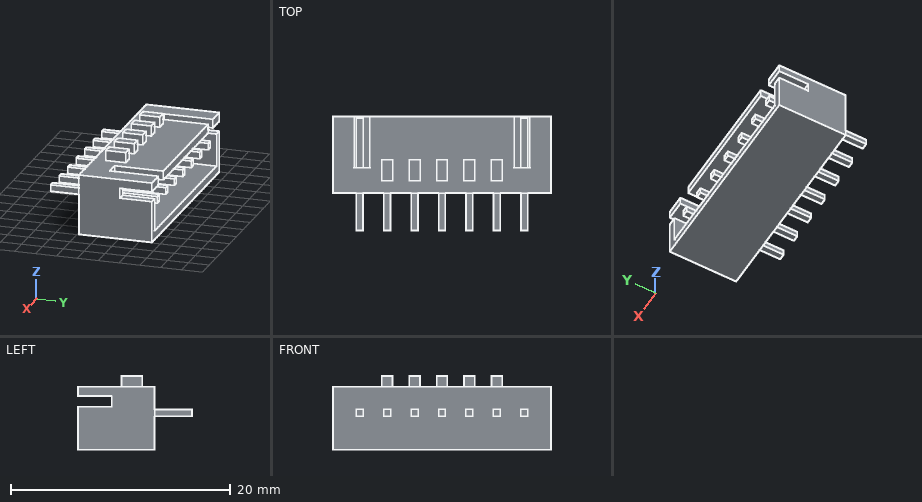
import cadquery as cq

body_length = 19.9
body_depth = 7.0
body_height = 5.77
wall = 0.85
cavity_depth = 4.68

slot_width = 1.43
slot_inset = 1.93

window_depth = 3.06
window_height = 0.95

pin_count = 7
pin_span = 15.0
pin_pitch = pin_span / (pin_count - 1)
pin_width = 0.64
pin_height_above_base = 3.38
pin_projection = 3.4
pin_tip_setback = 0.18

block_count = pin_count - 2
block_width = 1.0
block_depth = 1.91
block_height = 0.98
block_setback = 1.13


def corner_box(length, depth, height, x, y, z):
    """Box whose lowest X, Y and Z corner is at (x, y, z)."""
    return cq.Workplane("XY").box(length, depth, height, centered=False).translate((x, y, z))


def row_centres(count):
    """X positions of a centred row of features at the pin pitch."""
    return [(i - (count - 1) / 2) * pin_pitch for i in range(count)]


def make_housing():
    """Box-shaped shell, centred on X, with its back face on Y = 0 and base on Z = 0."""
    left = -body_length / 2
    housing = corner_box(body_length, body_depth, body_height, left, 0, 0)

    cavity_back = body_depth - cavity_depth
    housing = housing.cut(
        corner_box(
            body_length - 2 * wall, cavity_depth, body_height - 2 * wall,
            left + wall, cavity_back, wall,
        )
    )

    slot_left = left + slot_inset
    slot_right = -slot_left - slot_width
    for x in (slot_left, slot_right):
        housing = housing.cut(
            corner_box(slot_width, cavity_depth, wall, x, cavity_back, body_height - wall)
        )

    window_bottom = body_height - wall - window_height
    return housing.cut(
        corner_box(body_length, window_depth, window_height, left, body_depth - window_depth, window_bottom)
    )


def make_pin(x):
    length = pin_projection + body_depth - pin_tip_setback
    bottom = pin_height_above_base - pin_width / 2
    return corner_box(pin_width, length, pin_width, x - pin_width / 2, -pin_projection, bottom)


def make_block(x):
    return corner_box(block_width, block_depth, block_height, x - block_width / 2, block_setback, body_height)


result = make_housing()
for pin_x in row_centres(pin_count):
    result = result.union(make_pin(pin_x))
for block_x in row_centres(block_count):
    result = result.union(make_block(block_x))